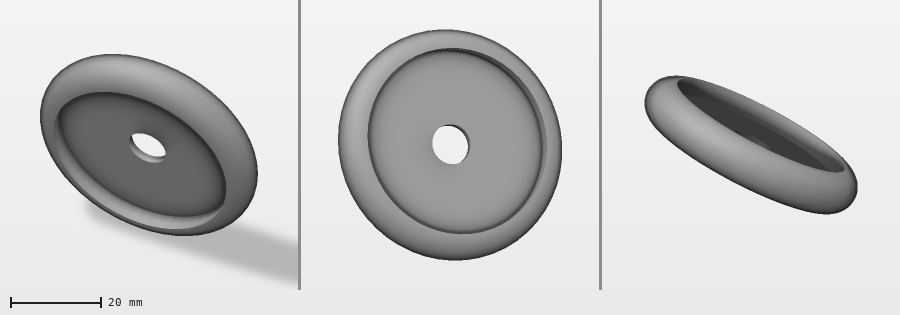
import cadquery as cq

outer_diameter = 52.0
recess_diameter = 42.0
hole_diameter = 9.0
web_thickness = 2.0

outer_radius = outer_diameter / 2
recess_radius = recess_diameter / 2
hole_radius = hole_diameter / 2
half_thickness = outer_radius - recess_radius
half_web = web_thickness / 2

half_section = (
    cq.Workplane("XY")
    .moveTo(hole_radius, -half_web)
    .lineTo(recess_radius, -half_web)
    .lineTo(recess_radius, -half_thickness)
    .threePointArc((outer_radius, 0), (recess_radius, half_thickness))
    .lineTo(recess_radius, half_web)
    .lineTo(hole_radius, half_web)
    .close()
)

result = half_section.revolve(360, (0, 0, 0), (0, 1, 0))